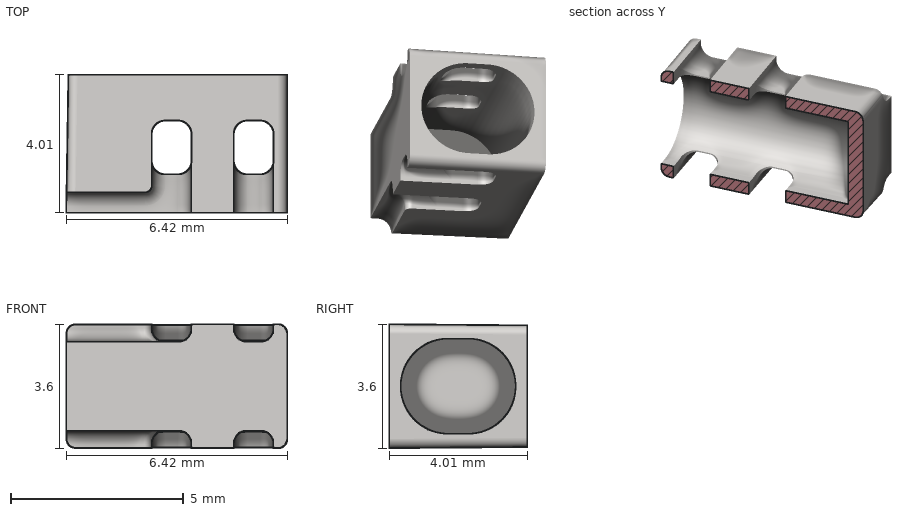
import cadquery as cq

LENGTH = 6.42
DEPTH = 4.01
HEIGHT = 3.6
LEFT_TAPER = 0.065
FACE_TAPER = 0.03
EDGE_RADIUS = 0.27

CHANNEL_DEPTH = 0.515
CHANNEL_WIDTH = 1.15
CHANNEL_RADIUS = 0.385
LEFT_CHANNEL_X = -0.15
CHANNEL_PITCH = 2.38
SLOT_FRONT = -0.885
SLOT_BACK = 0.67
LEDGE_WIDTH = 0.6
LEDGE_CORNER_RADIUS = 0.19
OVERSHOOT = 0.64

BORE_RADIUS = 1.38
BORE_FLAT = 0.58
LEFT_WALL = 0.515

LEFT = -LENGTH / 2
FRONT = -DEPTH / 2
FLOOR_Z = HEIGHT / 2 - CHANNEL_DEPTH
CUTTER_FRONT = FRONT - OVERSHOOT
CHANNEL_END = (SLOT_FRONT + SLOT_BACK) / 2
RIGHT_CHANNEL_X = LEFT_CHANNEL_X + CHANNEL_PITCH


def make_block():
    """Tapered block with its four long edges rounded."""
    back_length = LENGTH - LEFT_TAPER
    back_height = HEIGHT - 2 * FACE_TAPER
    block = (
        cq.Workplane("XZ", origin=(0, FRONT, 0))
        .rect(LENGTH, HEIGHT)
        .workplane(offset=-DEPTH)
        .center(LEFT_TAPER / 2, 0)
        .rect(back_length, back_height)
        .loft(ruled=True)
    )
    long_edges = block.edges("not(<Y or >Y)")
    return long_edges.fillet(EDGE_RADIUS)


def raise_channel(outline):
    """Turn a plan outline into a cutter with a rounded floor."""
    return outline.extrude(CHANNEL_DEPTH + OVERSHOOT).faces("<Z").edges().fillet(CHANNEL_RADIUS)


def left_channel():
    """Channel joined to the ledge that runs out through the left face."""
    left_wall = LEFT_CHANNEL_X - CHANNEL_WIDTH / 2
    right_wall = LEFT_CHANNEL_X + CHANNEL_WIDTH / 2
    ledge_back = FRONT + LEDGE_WIDTH
    outline = (
        cq.Workplane("XY", origin=(0, 0, FLOOR_Z))
        .moveTo(LEFT - OVERSHOOT, CUTTER_FRONT)
        .lineTo(right_wall, CUTTER_FRONT)
        .lineTo(right_wall, CHANNEL_END)
        .lineTo(left_wall, CHANNEL_END)
        .lineTo(left_wall, ledge_back + LEDGE_CORNER_RADIUS)
        .radiusArc((left_wall - LEDGE_CORNER_RADIUS, ledge_back), LEDGE_CORNER_RADIUS)
        .lineTo(LEFT - OVERSHOOT, ledge_back)
        .close()
    )
    return raise_channel(outline)


def right_channel():
    """Straight channel open at the front face."""
    centre_y = (CUTTER_FRONT + CHANNEL_END) / 2
    outline = cq.Workplane("XY", origin=(RIGHT_CHANNEL_X, centre_y, FLOOR_Z)).rect(
        CHANNEL_WIDTH, CHANNEL_END - CUTTER_FRONT
    )
    return raise_channel(outline)


def slot(centre_x):
    """Vertical slot with rounded corners through the whole height."""
    centre_y = (SLOT_FRONT + SLOT_BACK) / 2
    return (
        cq.Workplane("XY", origin=(centre_x, centre_y, 0))
        .box(CHANNEL_WIDTH, SLOT_BACK - SLOT_FRONT, HEIGHT + 2 * OVERSHOOT)
        .edges("|Z")
        .fillet(CHANNEL_RADIUS)
    )


def bore():
    """Obround cavity behind the left wall, centred on the block."""
    return (
        cq.Workplane("YZ", origin=(LEFT + LEFT_WALL, 0, 0))
        .slot2D(BORE_FLAT + 2 * BORE_RADIUS, 2 * BORE_RADIUS)
        .extrude(LENGTH)
    )


result = make_block().cut(bore())
for centre_x in (LEFT_CHANNEL_X, RIGHT_CHANNEL_X):
    result = result.cut(slot(centre_x))
for channel in (left_channel(), right_channel()):
    result = result.cut(channel)
    result = result.cut(channel.mirror("XY"))